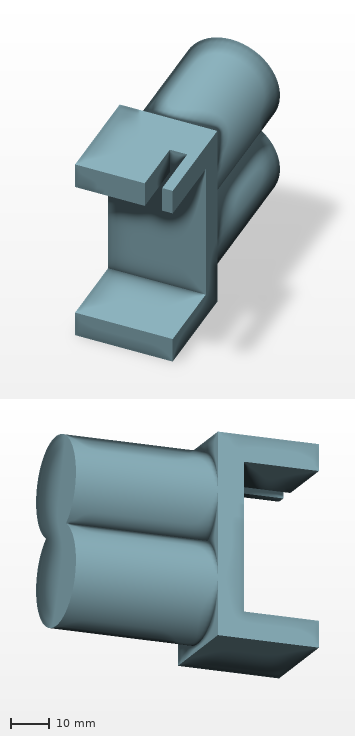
import cadquery as cq

width = 28.0
bracket_depth = 28.5
height = 56.0
wall = 7.4

cylinder_diameter = width
cylinder_length = 40.0
cylinder_stack_height = 52.2
axis_offset = (cylinder_stack_height - cylinder_diameter) / 2

slot_width = 5.0
slot_depth = 16.0
slot_side_margin = 3.0


def make_bracket():
    """C-shaped block, centred on X and Z, with its back face at Y = 0."""
    block = cq.Workplane("XY").box(width, bracket_depth, height, centered=(True, False, True))
    opening = cq.Workplane("XY").box(
        width, bracket_depth - wall, height - 2 * wall, centered=(True, False, True)
    )
    return block.cut(opening).translate((0, -bracket_depth, 0))


def make_cylinder(axis_z):
    """Solid cylinder running from the bracket's back face towards +Y."""
    base = cq.Workplane("XZ", origin=(0, 0, axis_z))
    return base.circle(cylinder_diameter / 2).extrude(-cylinder_length)


def make_slot():
    """Cutter for the slot near the +X side of the upper arm."""
    slot = cq.Workplane("XY").box(slot_width, slot_depth, wall, centered=False)
    slot_x = width / 2 - slot_side_margin - slot_width
    return slot.translate((slot_x, -bracket_depth, height / 2 - wall))


result = make_bracket().cut(make_slot())
for axis_z in (-axis_offset, axis_offset):
    result = result.union(make_cylinder(axis_z))